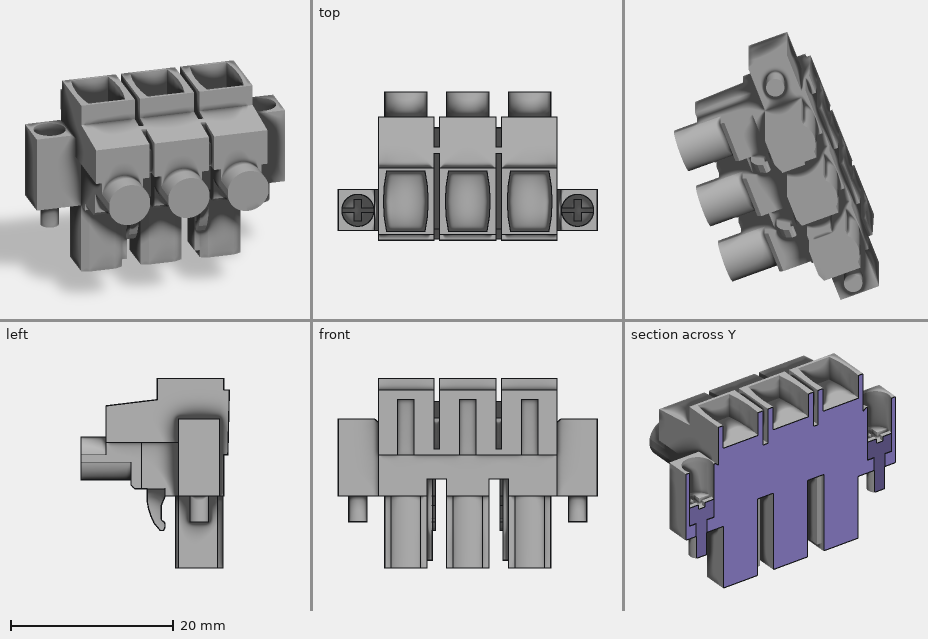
import cadquery as cq

POLES = 3
PITCH = 7.63
POLE_CENTERS = [(i - (POLES - 1) / 2) * PITCH for i in range(POLES)]
GAP_CENTERS = [(i - (POLES - 2) / 2) * PITCH for i in range(POLES - 1)]
SIDES = (-1, 1)

TOTAL_WIDTH = 31.92
BODY_WIDTH = 22.02
TOP_Z = 14.52
TOWER_REAR_Y = 8.2
ROOF_FRONT_Z = 11.9
ROOF_REAR_Z = 11.15
REAR_Y = 14.52
OVERHANG_Z = 6.65

POLE_WIDTH = 5.25
BASE_WIDTH = (POLES - 1) * PITCH + POLE_WIDTH
BASE_FRONT_Y = 5.6
SHOULDER_Y = 7.2
SHOULDER_Z = 0.9
CARRIER_FRONT_Y = 10.12
CARRIER_REAR_Y = 11.45
CARRIER_CHAMFER = 0.5

LIP_TOP_Z = 13.1
LIP_BOTTOM_Z = 5.1
LIP_TOP_DEPTH = 0.7
LIP_BOTTOM_DEPTH = 0.5
LIP_SLOT_WIDTH = 2.05
LIP_SLOT_TOP_Z = 11.9
LIP_SLOT_FLOOR_Y = 0.1

GAP_WIDTH = 0.67
GAP_FLOOR_Z = 9.6
GAP_FRONT_FLOOR_Z = 5.85
GAP_STEP_Y = 0.7
BRIDGE_FRONT_Y = 10.02
BRIDGE_REAR_Y = 10.82
WEB_REAR_Y = 13.18
NOTCH_TOP_Z = 2.1

WELL_FRONT_Y = 0.38
WELL_REAR_Y = 7.82
WELL_END_WIDTH = 4.72
WELL_MIDDLE_WIDTH = 5.52
WELL_DEPTH = 3.25

PLUG_BOTTOM_Z = -8.85
PLUG_SHOULDER_Y = 0.8
PLUG_NOSE_Y = 0.1
PLUG_NOSE_WIDTH = 3.65
PLUG_BEVEL_Y = BASE_FRONT_Y
PLUG_REAR_Y = 5.97
PLUG_BEVEL_WIDTH = 0.95

RIB_THICKNESS = 0.67
RIB_FRONT_Y = 2.55
RIB_BOTTOM_Z = -7.9

HOOK_WIDTH = 1.05
HOOK_REAR_Y = 9.45
HOOK_BEND_Z = -0.65
HOOK_THROAT_Y = 7.7
HOOK_THROAT_TOP_Z = -1.15
HOOK_THROAT_BOTTOM_Z = -2.7
HOOK_BARB_Y = 7.3
HOOK_BARB_TOP_Z = -3.15
HOOK_BARB_BOTTOM_Z = -4.02
HOOK_BARB_BULGE = 0.1
HOOK_TIP_FRONT_Y = 7.45
HOOK_TIP_REAR_Y = 7.82
HOOK_TIP_Z = -4.25
HOOK_KNEE_Y = 8.6
HOOK_KNEE_Z = -3.32
HOOK_BACK_BULGE = 0.13

FUNNEL_REAR_Y = 17.6
FUNNEL_DIAMETER = 5.33
FUNNEL_Z = 4.65

FLANGE_FRONT_Y = 0.5
FLANGE_REAR_Y = 5.6
FLANGE_TOP_Z = 9.5
FLANGE_CHAMFER_WIDTH = 0.45
FLANGE_CHAMFER_HEIGHT = 0.38
SCREW_X = 13.55
SCREW_Y = 3.0
HEAD_DIAMETER = 3.95
HEAD_TOP_Z = 4.47
HEAD_BOTTOM_Z = 1.9
SHANK_DIAMETER = 2.27
SHANK_BOTTOM_Z = -3.15
CROSS_DEPTH = 0.65
CROSS_LONG_WIDTH = 0.57
CROSS_SHORT_WIDTH = 0.9
CROSS_SHORT_LENGTH = 2.68


def block(x_center, width, y_front, y_rear, z_bottom, z_top):
    """Box centred on x_center and spanning the given Y and Z ranges."""
    return (
        cq.Workplane("XY", origin=(x_center, y_front, z_bottom))
        .box(width, y_rear - y_front, z_top - z_bottom, centered=(True, False, False))
    )


def side_profile(points, width, x_center=0):
    """Extrude a closed outline of (Y, Z) points across the width."""
    outline = cq.Workplane("YZ", origin=(x_center, 0, 0)).polyline(points).close()
    return outline.extrude(width / 2, both=True)


def post(x, y, diameter, z_bottom, z_top):
    """Upright cylinder."""
    return cq.Workplane("XY", origin=(x, y, z_bottom)).circle(diameter / 2).extrude(z_top - z_bottom)


def make_shell():
    """Full-width upper part with tower, sloped roof and front lip, on the narrower base."""
    upper = side_profile(
        [
            (0, 0),
            (0, LIP_BOTTOM_Z),
            (-LIP_BOTTOM_DEPTH, LIP_BOTTOM_Z),
            (-LIP_TOP_DEPTH, LIP_TOP_Z),
            (0, LIP_TOP_Z),
            (0, TOP_Z),
            (TOWER_REAR_Y, TOP_Z),
            (TOWER_REAR_Y, ROOF_FRONT_Z),
            (REAR_Y, ROOF_REAR_Z),
            (REAR_Y, OVERHANG_Z),
            (BASE_FRONT_Y, OVERHANG_Z),
            (BASE_FRONT_Y, 0),
        ],
        BODY_WIDTH,
    )
    base = side_profile(
        [
            (BASE_FRONT_Y, 0),
            (BASE_FRONT_Y, OVERHANG_Z),
            (CARRIER_FRONT_Y, OVERHANG_Z),
            (CARRIER_FRONT_Y, SHOULDER_Z),
            (SHOULDER_Y, SHOULDER_Z),
            (SHOULDER_Y, 0),
        ],
        BASE_WIDTH,
    )
    return upper.union(base)


def make_flange(side):
    """Screw flange on one end, bevelled where its top meets the housing."""
    inner = BODY_WIDTH / 2
    outer = TOTAL_WIDTH / 2
    return (
        cq.Workplane("XZ", origin=(0, FLANGE_REAR_Y, 0))
        .polyline(
            [
                (side * inner, 0),
                (side * inner, FLANGE_TOP_Z - FLANGE_CHAMFER_HEIGHT),
                (side * (inner + FLANGE_CHAMFER_WIDTH), FLANGE_TOP_Z),
                (side * outer, FLANGE_TOP_Z),
                (side * outer, 0),
            ]
        )
        .close()
        .extrude(FLANGE_REAR_Y - FLANGE_FRONT_Y)
    )


def make_plug(x):
    """Plug with a rounded nose at the front and bevelled rear edges."""
    half = POLE_WIDTH / 2
    nose = PLUG_NOSE_WIDTH / 2
    return (
        cq.Workplane("XY", origin=(x, 0, PLUG_BOTTOM_Z))
        .moveTo(-half, PLUG_SHOULDER_Y)
        .lineTo(-nose, PLUG_SHOULDER_Y)
        .threePointArc((0, PLUG_NOSE_Y), (nose, PLUG_SHOULDER_Y))
        .lineTo(half, PLUG_SHOULDER_Y)
        .lineTo(half, PLUG_BEVEL_Y)
        .lineTo(half - PLUG_BEVEL_WIDTH, PLUG_REAR_Y)
        .lineTo(PLUG_BEVEL_WIDTH - half, PLUG_REAR_Y)
        .lineTo(-half, PLUG_BEVEL_Y)
        .close()
        .extrude(-PLUG_BOTTOM_Z)
    )


def make_well(x):
    """Cutter for a screwdriver well with bowed sides."""
    end = WELL_END_WIDTH / 2
    middle = WELL_MIDDLE_WIDTH / 2
    middle_y = (WELL_FRONT_Y + WELL_REAR_Y) / 2
    return (
        cq.Workplane("XY", origin=(x, 0, TOP_Z))
        .moveTo(-end, WELL_FRONT_Y)
        .lineTo(end, WELL_FRONT_Y)
        .threePointArc((middle, middle_y), (end, WELL_REAR_Y))
        .lineTo(-end, WELL_REAR_Y)
        .threePointArc((-middle, middle_y), (-end, WELL_FRONT_Y))
        .close()
        .extrude(-WELL_DEPTH)
    )


def make_lip_slot(x):
    """Cutter for the upright slot in the front lip."""
    return block(x, LIP_SLOT_WIDTH, -LIP_TOP_DEPTH, LIP_SLOT_FLOOR_Y, LIP_BOTTOM_Z, LIP_SLOT_TOP_Z)


def make_gap(x):
    """Cutter that parts two neighbouring poles, leaving the bridge and the web."""
    front = block(x, GAP_WIDTH, -LIP_TOP_DEPTH, GAP_STEP_Y, GAP_FRONT_FLOOR_Z, TOP_Z)
    middle = block(x, GAP_WIDTH, GAP_STEP_Y, BRIDGE_FRONT_Y, GAP_FLOOR_Z, TOP_Z)
    rear = block(x, GAP_WIDTH, BRIDGE_REAR_Y, REAR_Y, GAP_FLOOR_Z, TOP_Z)
    behind_web = block(x, GAP_WIDTH, WEB_REAR_Y, REAR_Y, OVERHANG_Z, TOP_Z)
    return front.union(middle).union(rear).union(behind_web)


def make_notch(x):
    """Cutter for the notch through the underside between two plugs."""
    return block(x, PITCH - POLE_WIDTH, 0, CARRIER_FRONT_Y, 0, NOTCH_TOP_Z)


def make_rib(side):
    """Keying rib on the inner side of an outer plug."""
    x = side * (PITCH - POLE_WIDTH / 2 - RIB_THICKNESS / 2)
    return block(x, RIB_THICKNESS, RIB_FRONT_Y, PLUG_BEVEL_Y, RIB_BOTTOM_Z, NOTCH_TOP_Z)


def make_hook(side):
    """Latch hook hanging from the roof of a notch."""
    return (
        cq.Workplane("YZ")
        .moveTo(SHOULDER_Y, NOTCH_TOP_Z)
        .lineTo(SHOULDER_Y, 0)
        .lineTo(HOOK_THROAT_Y, HOOK_THROAT_TOP_Z)
        .lineTo(HOOK_THROAT_Y, HOOK_THROAT_BOTTOM_Z)
        .tangentArcPoint((HOOK_BARB_Y, HOOK_BARB_TOP_Z), relative=False)
        .sagittaArc((HOOK_BARB_Y, HOOK_BARB_BOTTOM_Z), -HOOK_BARB_BULGE)
        .lineTo(HOOK_TIP_FRONT_Y, HOOK_TIP_Z)
        .lineTo(HOOK_TIP_REAR_Y, HOOK_TIP_Z)
        .lineTo(HOOK_KNEE_Y, HOOK_KNEE_Z)
        .sagittaArc((HOOK_REAR_Y, HOOK_BEND_Z), -HOOK_BACK_BULGE)
        .lineTo(HOOK_REAR_Y, NOTCH_TOP_Z)
        .close()
        .extrude(HOOK_WIDTH / 2, both=True)
        .translate((side * (PITCH - POLE_WIDTH / 2 - HOOK_WIDTH / 2), 0, 0))
    )


def make_carrier(x):
    """Wire funnel, flattened on both sides, with the block that holds it under the overhang."""
    holder = side_profile(
        [
            (CARRIER_FRONT_Y, SHOULDER_Z),
            (CARRIER_FRONT_Y, OVERHANG_Z),
            (REAR_Y, OVERHANG_Z),
            (REAR_Y, FUNNEL_Z),
            (CARRIER_REAR_Y, FUNNEL_Z),
            (CARRIER_REAR_Y, SHOULDER_Z + CARRIER_CHAMFER),
            (CARRIER_REAR_Y - CARRIER_CHAMFER, SHOULDER_Z),
        ],
        POLE_WIDTH,
        x,
    )
    tube = (
        cq.Workplane("XZ", origin=(x, FUNNEL_REAR_Y, FUNNEL_Z))
        .circle(FUNNEL_DIAMETER / 2)
        .extrude(FUNNEL_REAR_Y - CARRIER_FRONT_Y)
    )
    flats = block(x, POLE_WIDTH, CARRIER_FRONT_Y, FUNNEL_REAR_Y, 0, TOP_Z)
    overhang = block(x, FUNNEL_DIAMETER, CARRIER_FRONT_Y, REAR_Y, OVERHANG_Z, TOP_Z)
    return holder.union(tube.intersect(flats).cut(overhang))


def make_screw(side):
    """Flange screw with a cross recess in its head."""
    x = side * SCREW_X
    head = post(x, SCREW_Y, HEAD_DIAMETER, HEAD_BOTTOM_Z, HEAD_TOP_Z)
    shank = post(x, SCREW_Y, SHANK_DIAMETER, SHANK_BOTTOM_Z, HEAD_BOTTOM_Z)
    recess_z = HEAD_TOP_Z - CROSS_DEPTH
    half_slot = CROSS_LONG_WIDTH / 2
    half_cross = CROSS_SHORT_LENGTH / 2
    long_slot = block(x, HEAD_DIAMETER, SCREW_Y - half_slot, SCREW_Y + half_slot, recess_z, HEAD_TOP_Z)
    short_slot = block(x, CROSS_SHORT_WIDTH, SCREW_Y - half_cross, SCREW_Y + half_cross, recess_z, HEAD_TOP_Z)
    return head.union(shank).cut(long_slot).cut(short_slot)


def make_screw_hole(side):
    """Cutter for the stepped hole that a flange screw sits in."""
    x = side * SCREW_X
    bore = post(x, SCREW_Y, HEAD_DIAMETER, HEAD_BOTTOM_Z, FLANGE_TOP_Z)
    return bore.union(post(x, SCREW_Y, SHANK_DIAMETER, 0, HEAD_BOTTOM_Z))


def make_housing():
    """Housing with its flanges, plugs, ribs and latch hooks."""
    housing = make_shell()
    for x in GAP_CENTERS:
        housing = housing.cut(make_gap(x)).cut(make_notch(x))
    for x in POLE_CENTERS:
        housing = housing.union(make_plug(x)).cut(make_well(x)).cut(make_lip_slot(x))
    for side in SIDES:
        housing = housing.union(make_flange(side)).cut(make_screw_hole(side))
        housing = housing.union(make_rib(side)).union(make_hook(side))
    return housing


housing = make_housing()
carriers = [make_carrier(x).val() for x in POLE_CENTERS]
screws = [make_screw(side).val() for side in SIDES]
result = cq.Compound.makeCompound([housing.val(), *carriers, *screws])